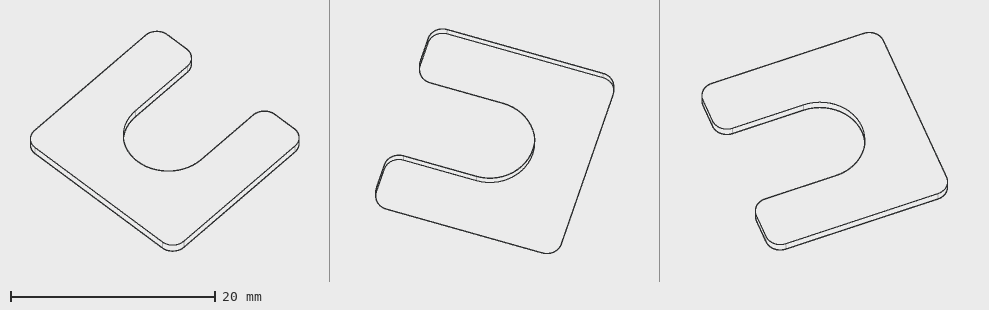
import cadquery as cq

plate_width = 20.0
plate_depth = 19.0
plate_thickness = 1.0
slot_width = 8.8
slot_center_height = 10.0
corner_radius = 1.5

slot_radius = slot_width / 2
half_width = plate_width / 2
closed_edge_y = -slot_center_height
open_edge_y = closed_edge_y + plate_depth


def slotted_plate():
    """U-shaped shim: a plate with a round-bottomed slot open towards +Y."""
    return (
        cq.Workplane("XY")
        .moveTo(-half_width, closed_edge_y)
        .lineTo(half_width, closed_edge_y)
        .lineTo(half_width, open_edge_y)
        .lineTo(slot_radius, open_edge_y)
        .lineTo(slot_radius, 0)
        .threePointArc((0, -slot_radius), (-slot_radius, 0))
        .lineTo(-slot_radius, open_edge_y)
        .lineTo(-half_width, open_edge_y)
        .close()
        .extrude(plate_thickness)
    )


def round_corners(plate):
    """Round the two closed-edge corners and both corners of each prong tip."""
    closed_edge_corners = plate.faces("<Y").edges("|Z")
    prong_tip_corners = plate.faces(">Y").edges("|Z")
    return closed_edge_corners.add(prong_tip_corners).fillet(corner_radius)


result = round_corners(slotted_plate())